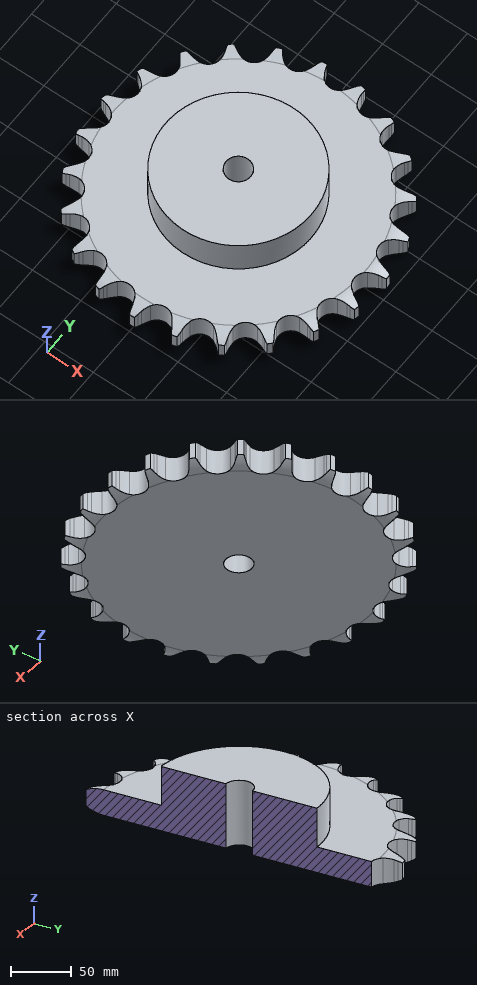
import cadquery as cq
import math

tooth_count = 23
pitch_radius = 139.8
roller_diameter = 25.3
overall_width = 294.5
tip_corner_angle = 2.9
plate_thickness = 24.0
total_height = 60.0
hub_diameter = 150.0
bore_diameter = 25.0
relief_radius = 38.0
relief_width = 17.5

outer_radius = overall_width / 2 / math.cos(math.radians(tip_corner_angle))
tooth_angle = 360 / tooth_count

seating_angle = 35 + 60 / tooth_count
working_sweep = 18 - 56 / tooth_count
seating_radius = 0.5 * roller_diameter
working_offset = 0.8 * roller_diameter
topping_offset = 1.4 * roller_diameter
topping_sweep = 30


def point_at(center, radius, angle):
    """Point at a given angle and distance from a centre."""
    a = math.radians(angle)
    return (center[0] + radius * math.cos(a), center[1] + radius * math.sin(a))


def mirrored(point):
    return (-point[0], point[1])


def make_blank():
    """Solid disc whose rim is rounded towards both faces."""
    relief_depth = relief_radius - math.sqrt(relief_radius**2 - relief_width**2)
    relief_start = outer_radius - relief_width
    mid_angle = math.degrees(math.asin(relief_width / relief_radius)) / 2
    lower_mid = point_at((relief_start, relief_radius), relief_radius, mid_angle - 90)
    upper_mid = (lower_mid[0], plate_thickness - lower_mid[1])
    return (
        cq.Workplane("XZ")
        .lineTo(relief_start, 0)
        .threePointArc(lower_mid, (outer_radius, relief_depth))
        .lineTo(outer_radius, plate_thickness - relief_depth)
        .threePointArc(upper_mid, (relief_start, plate_thickness))
        .lineTo(0, plate_thickness)
        .close()
        .revolve(360, (0, 0), (0, 1))
    )


def make_tooth_gap():
    """Gap between two teeth, centred on +Y: seating arc, working arcs, straights and topping arcs."""
    roller_center = (0, pitch_radius)
    root = (0, pitch_radius - seating_radius)
    seat_end = point_at(roller_center, seating_radius, -seating_angle)
    seat_mid = point_at(roller_center, seating_radius, -(90 + seating_angle) / 2)

    working_center = point_at(roller_center, working_offset, 180 - seating_angle)
    working_radius = working_offset + seating_radius
    flank_normal = working_sweep - seating_angle
    working_mid = point_at(working_center, working_radius, -seating_angle + working_sweep / 2)
    working_end = point_at(working_center, working_radius, flank_normal)

    topping_center = point_at(roller_center, topping_offset, -tooth_angle / 2)
    topping_radius = (
        working_offset * math.cos(math.radians(working_sweep))
        + topping_offset * math.cos(math.radians(flank_normal + tooth_angle / 2))
        - working_radius
    )
    topping_angle = 180 + flank_normal
    topping_start = point_at(topping_center, topping_radius, topping_angle)
    topping_mid = point_at(topping_center, topping_radius, topping_angle - topping_sweep / 2)
    topping_end = point_at(topping_center, topping_radius, topping_angle - topping_sweep)

    return (
        cq.Workplane("XY")
        .moveTo(*root)
        .threePointArc(seat_mid, seat_end)
        .threePointArc(working_mid, working_end)
        .lineTo(*topping_start)
        .threePointArc(topping_mid, topping_end)
        .lineTo(*mirrored(topping_end))
        .threePointArc(mirrored(topping_mid), mirrored(topping_start))
        .lineTo(*mirrored(working_end))
        .threePointArc(mirrored(working_mid), mirrored(seat_end))
        .threePointArc(mirrored(seat_mid), root)
        .close()
        .extrude(plate_thickness)
    )


result = make_blank()
tooth_gap = make_tooth_gap()
for i in range(tooth_count):
    result = result.cut(tooth_gap.rotate((0, 0, 0), (0, 0, 1), i * tooth_angle))

hub = cq.Workplane("XY").circle(hub_diameter / 2).extrude(total_height)
bore = cq.Workplane("XY").circle(bore_diameter / 2).extrude(total_height)
result = result.union(hub).cut(bore)